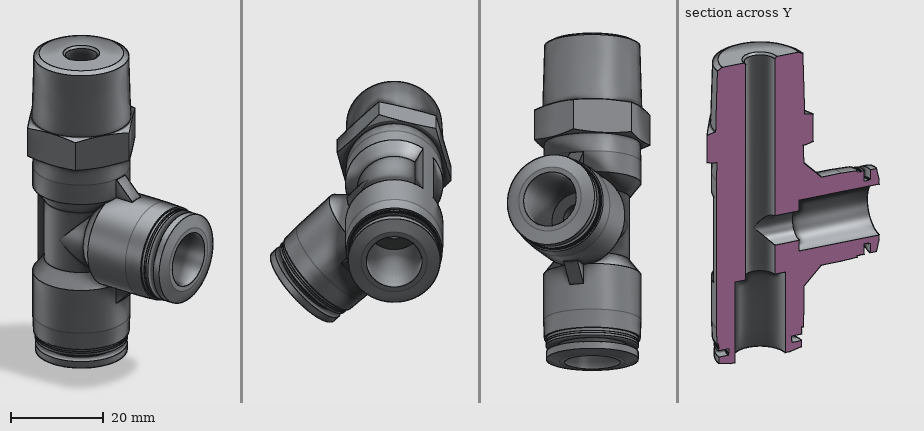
import cadquery as cq
import math

total_height = 70.8
branch_height = 29.5
branch_reach = 28.45

body_radius = 21.0 / 2
neck_radius = 16.1 / 2
run_neck_half = 7.1
branch_neck_end = 6.3
shoulder_offset = 10.2
branch_shoulder = 9.3
body_top = 44.3

port_taper_start = 9.2
port_taper_end = 5.25
port_taper_radius = 20.7 / 2
ring_radius = 20.0 / 2
ring_groove_radius = 19.8 / 2
ring_groove_top = 4.6
ring_groove_bottom = 4.2
ring_end = 3.6
sleeve_radius = 15.0 / 2
sleeve_step_radius = 15.3 / 2
sleeve_step = 2.6
flange_top = 2.2
flange_bottom = 0.65
flange_radius = 19.8 / 2
flange_end_radius = 7.1

collar_radius = 20.7 / 2
hex_bottom = 48.35
hex_top = 55.8
hex_flats = 22.0
hex_corners = hex_flats / math.cos(math.pi / 6)
hex_chamfer_angle = math.radians(15)
hex_face_radius = hex_flats / 2
thread_root_radius = 21.4 / 2
thread_tip_radius = 20.5 / 2
thread_chamfer_height = 0.65
thread_face_radius = 18.2 / 2

passage_radius = 6.9 / 2
passage_chamfer = 0.5
tube_radius = 12.0 / 2
tube_depth = 19.1
web_width = 3.1
gusset_leg_reach = 25.1


def revolve_about_z(profile):
    """Close a list of (radius, height) points on the axis and revolve it."""
    points = [(0, profile[0][1])] + profile + [(0, profile[-1][1])]
    return cq.Workplane("XZ").polyline(points).close().revolve(360, (0, 0), (0, 1))


def aim_along_branch(shape, reach):
    """Move a shape with its end at Z=0 so that its end faces +X on the branch axis."""
    return shape.rotate((0, 0, 0), (0, 1, 0), -90).translate((reach, 0, branch_height))


def port_profile():
    """Outer profile of a push-in port, from its end face to the full body radius."""
    return [
        (flange_end_radius, 0),
        (flange_radius, flange_bottom),
        (flange_radius, flange_top),
        (sleeve_step_radius, flange_top),
        (sleeve_step_radius, sleeve_step),
        (sleeve_radius, sleeve_step),
        (sleeve_radius, ring_end),
        (ring_radius, ring_end),
        (ring_radius, ring_groove_bottom),
        (ring_groove_radius, ring_groove_bottom),
        (ring_groove_radius, ring_groove_top),
        (ring_radius, ring_groove_top),
        (ring_radius, port_taper_end),
        (port_taper_radius, port_taper_end),
        (body_radius, port_taper_start),
    ]


def run_body():
    return revolve_about_z(port_profile() + [
        (body_radius, branch_height - shoulder_offset),
        (neck_radius, branch_height - run_neck_half),
        (neck_radius, branch_height + run_neck_half),
        (body_radius, branch_height + shoulder_offset),
        (body_radius, body_top),
        (collar_radius, hex_bottom),
    ])


def branch_body():
    branch = revolve_about_z(port_profile() + [
        (body_radius, branch_reach - branch_shoulder),
        (neck_radius, branch_reach - branch_neck_end),
        (neck_radius, branch_reach),
    ])
    return aim_along_branch(branch, branch_reach)


def hexagon():
    """Hexagon with its corners on X, chamfered at both faces."""
    height = hex_top - hex_bottom
    prism = cq.Workplane("XY").workplane(offset=hex_bottom).polygon(6, hex_corners).extrude(height)
    corner_radius = hex_corners / 2
    drop = (corner_radius - hex_face_radius) * math.tan(hex_chamfer_angle)
    return prism.intersect(revolve_about_z([
        (hex_face_radius, hex_bottom),
        (corner_radius, hex_bottom + drop),
        (corner_radius, hex_top - drop),
        (hex_face_radius, hex_top),
    ]))


def threaded_stud():
    """Tapered stud, plain in place of the thread."""
    return revolve_about_z([
        (thread_root_radius, hex_top),
        (thread_tip_radius, total_height - thread_chamfer_height),
        (thread_face_radius, total_height),
    ])


def back_web():
    """Web along the back of the run, its outer face rounded flush with the body."""
    lower = branch_height - shoulder_offset
    upper = branch_height + shoulder_offset
    slab = (
        cq.Workplane("XY")
        .box(body_radius, web_width, upper - lower, centered=(False, True, False))
        .translate((-body_radius, 0, lower))
    )
    return slab.intersect(revolve_about_z([(body_radius, lower), (body_radius, upper)]))


def gussets():
    """Sloping webs above and below the branch, cut off at the branch surface."""
    run_rise = gusset_leg_reach - body_radius
    return (
        cq.Workplane("XZ", origin=(0, 0, branch_height))
        .polyline([
            (0, -run_rise),
            (body_radius, -run_rise),
            (run_rise, -body_radius),
            (run_rise, body_radius),
            (body_radius, run_rise),
            (0, run_rise),
        ])
        .close()
        .extrude(web_width / 2, both=True)
    )


def passages():
    """Straight run passage, branch passage and a tube socket in each port."""
    run = revolve_about_z([
        (tube_radius, 0),
        (tube_radius, tube_depth),
        (passage_radius, tube_depth),
        (passage_radius, total_height - passage_chamfer),
        (passage_radius + passage_chamfer, total_height),
    ])
    branch = revolve_about_z([
        (tube_radius, 0),
        (tube_radius, tube_depth),
        (passage_radius, tube_depth),
        (passage_radius, branch_reach),
    ])
    return run.union(aim_along_branch(branch, branch_reach))


result = run_body().union(branch_body())
for feature in (hexagon(), threaded_stud(), back_web(), gussets()):
    result = result.union(feature)
result = result.cut(passages())